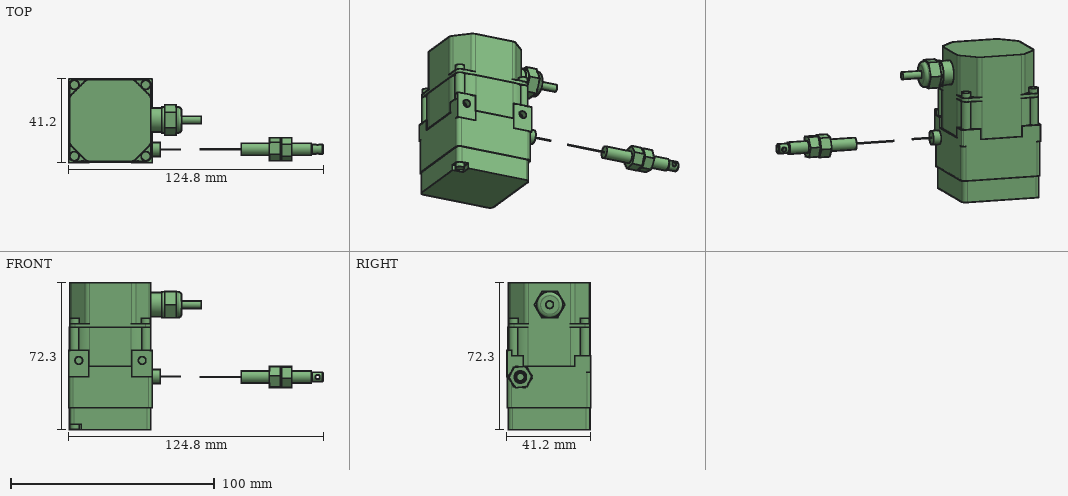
import cadquery as cq
import math


total_length = 124.8

band_bottom = 10.9
panel_bottom = 31.2
corner_block_top = 36.5
plate_bottom = 50.3
plate_top = 52.2
screw_head_top = 54.7
housing_top = 72.3

band_width = 41.1
band_depth = 41.2
tab_step = 0.1
body_inset = 0.4
right_inset = 0.7
base_front_inset = 0.6
cap_front_inset = 0.7
cap_left_inset = 0.5
base_radius = 2.1
drum_corner_radius = 9.7
cap_chamfer = 8.4
cap_edge_radius = 3.1
plate_corner_radius = 2.6

corner_block_width = 9.9
corner_block_depth = 8.0
rear_block_bottom = 28.2
block_edge_radius = 0.6
tab_width = 10.0
tab_thickness = 2.4
tab_bottom = 26.0
tab_top = 39.1
tab_hole_diameter = 3.7
tab_hole_depth = 3.7
tab_hole_inset = 5.0
tab_hole_height = 34.1

screw_spacing = 35.0
screw_left = 2.9
screw_front = 3.2
screw_head_diameter = 4.5
post_diameter = 4.9
notch_size = 6.2
notch_height = 2.7
notch_head_bottom = 0.4

gland_y = 21.0
gland_z = 61.4
collar_diameter = 12.0
gland_diameter = 12.9
gland_start = 45.7
gland_hex_start = 47.0
gland_hex_end = 52.7
gland_end = 55.4
gland_end_radius = 1.9
gland_across_flats = 13.0
cable_diameter = 3.7
cable_end = 65.2

outlet_y = 6.5
outlet_z = 26.2
wire_diameter = 0.45
outlet_diameter = 7.0
outlet_end = 44.9
wire_stub_end = 54.7

stud_y = 6.6
stud_z = 26.0
wire_restart = 64.5
stud_start = 84.6
stud_end = 119.1
stud_diameter = 6.0
neck_diameter = 4.7
neck_length = 0.5
tip_diameter = 4.9
tip_chamfer = 0.5
eye_diameter = 2.1
eye_x = 122.1
nut_across_flats = 10.0
first_nut_start = 98.5
first_nut_length = 5.4
first_nut_turn = -6
second_nut_start = 104.5
second_nut_length = 5.0
second_nut_turn = 6


def block(x0, y0, z0, x1, y1, z1):
    """Box between two opposite corners."""
    return cq.Workplane("XY").box(x1 - x0, y1 - y0, z1 - z0, centered=False).translate((x0, y0, z0))


def rod_x(y, z, diameter, x0, x1):
    """Round rod along X."""
    return cq.Workplane("YZ", origin=(x0, y, z)).circle(diameter / 2).extrude(x1 - x0)


def rod_z(x, y, diameter, z0, z1):
    """Round rod along Z."""
    return cq.Workplane("XY", origin=(x, y, z0)).circle(diameter / 2).extrude(z1 - z0)


def hex_x(y, z, across_flats, x0, x1):
    """Hexagonal prism along X with two corners pointing along Y."""
    across_corners = across_flats / math.cos(math.radians(30))
    return cq.Workplane("YZ", origin=(x0, y, z)).polygon(6, across_corners).extrude(x1 - x0)


body_right = band_width - right_inset
body_rear = band_depth - body_inset

screw_centers = [
    (x, y)
    for x in (screw_left, screw_left + screw_spacing)
    for y in (screw_front, screw_front + screw_spacing)
]


def make_base():
    """Bottom block, band and the slimmer rounded drum section above the band."""
    bottom = block(body_inset, base_front_inset, 0, body_right, body_rear, band_bottom)
    bottom = bottom.edges("|Z").fillet(base_radius)
    band = block(0, tab_step, band_bottom, band_width, band_depth, panel_bottom)
    band = band.edges("|Z").fillet(base_radius)
    drum = block(body_inset, body_inset, band_bottom, body_right, body_rear, plate_bottom)
    drum = drum.edges("|Z").fillet(drum_corner_radius)
    return bottom.union(band).union(drum)


def make_corner_blocks():
    """Square corners of the band: two behind the tabs and two lower ones at the rear."""
    blocks = []
    for x in (0, band_width - corner_block_width):
        front = block(x, tab_step, panel_bottom,
                      x + corner_block_width, corner_block_depth, corner_block_top)
        rear = block(x, band_depth - corner_block_depth, rear_block_bottom,
                     x + corner_block_width, band_depth, corner_block_top)
        outer_edge = "<X and >Y" if x == 0 else ">X and >Y"
        rear = rear.edges("|Z").edges(outer_edge).fillet(block_edge_radius)
        blocks += [front, rear]
    return blocks


def make_tabs():
    """Two mounting tabs on the front."""
    tabs = []
    for x in (0, band_width - tab_width):
        tabs.append(block(x, 0, tab_bottom, x + tab_width, tab_thickness, tab_top))
    return tabs


def make_tab_holes():
    """Blind holes in the tabs."""
    holes = []
    for x in (tab_hole_inset, band_width - tab_hole_inset):
        hole_plane = cq.Workplane("XZ", origin=(x, 0, tab_hole_height))
        holes.append(hole_plane.circle(tab_hole_diameter / 2).extrude(-tab_hole_depth))
    return holes


def make_cap():
    """Octagonal cap with rounded edges on its square flange plate."""
    cap = block(cap_left_inset, cap_front_inset, plate_bottom, body_right, body_rear, housing_top)
    cap = cap.edges("|Z").chamfer(cap_chamfer).edges("|Z").fillet(cap_edge_radius)
    plate = block(cap_left_inset, cap_front_inset, plate_bottom, body_right, body_rear, plate_top)
    return cap.union(plate.edges("|Z").fillet(plate_corner_radius))


def make_gland():
    """Cable gland with hexagon, rounded end and cable."""
    collar_radius = collar_diameter / 2
    gland_radius = gland_diameter / 2
    axis_start = band_width / 2
    gland = (
        cq.Workplane("XY")
        .moveTo(axis_start, 0)
        .lineTo(axis_start, collar_radius)
        .lineTo(gland_start, collar_radius)
        .lineTo(gland_start, gland_radius)
        .lineTo(gland_end, gland_radius)
        .lineTo(gland_end, 0)
        .close()
        .revolve(360, (0, 0, 0), (1, 0, 0))
        .faces(">X").edges().fillet(gland_end_radius)
        .translate((0, gland_y, gland_z))
    )
    hexagon = hex_x(gland_y, gland_z, gland_across_flats, gland_hex_start, gland_hex_end)
    cable = rod_x(gland_y, gland_z, cable_diameter, axis_start, cable_end)
    return gland.union(hexagon).union(cable)


def make_wire_outlet():
    """Outlet boss on the right side with the first piece of wire."""
    outlet = rod_x(outlet_y, outlet_z, outlet_diameter, band_width / 2, outlet_end)
    return outlet.union(rod_x(outlet_y, outlet_z, wire_diameter, band_width / 2, wire_stub_end))


def make_housing():
    """Complete housing with tabs, screws, gland, cable and wire outlet."""
    body = make_base().union(make_cap())
    for piece in make_corner_blocks() + make_tabs():
        body = body.union(piece)
    for x, y in screw_centers:
        body = body.union(rod_z(x, y, post_diameter, panel_bottom, plate_bottom))
        body = body.union(rod_z(x, y, screw_head_diameter, plate_bottom, screw_head_top))
    for hole in make_tab_holes():
        body = body.cut(hole)
    body = body.cut(block(0, 0, 0, notch_size, notch_size, notch_height))
    notch_head = rod_z(screw_left, screw_front, screw_head_diameter, notch_head_bottom, notch_height)
    body = body.union(notch_head)
    return body.union(make_gland()).union(make_wire_outlet())


def make_wire_end():
    """Second piece of wire, threaded stud and tip with a cross hole."""
    neck_end = stud_end + neck_length
    wire = rod_x(stud_y, stud_z, wire_diameter, wire_restart, stud_start)
    stud = rod_x(stud_y, stud_z, stud_diameter, stud_start, stud_end)
    neck = rod_x(stud_y, stud_z, neck_diameter, stud_end, neck_end)
    tip = rod_x(stud_y, stud_z, tip_diameter, neck_end, total_length)
    tip = tip.faces(">X").edges().chamfer(tip_chamfer)
    eye = cq.Workplane("XZ", origin=(eye_x, stud_y, stud_z)).circle(eye_diameter / 2)
    eye = eye.extrude(tip_diameter, both=True)
    return wire.union(stud).union(neck).union(tip).cut(eye)


def make_nut(start, length, turn):
    """Lock nut turned about the stud by an angle in degrees."""
    nut = hex_x(stud_y, stud_z, nut_across_flats, start, start + length)
    nut = nut.rotate((0, stud_y, stud_z), (1, stud_y, stud_z), turn)
    return nut.cut(rod_x(stud_y, stud_z, stud_diameter, start, start + length))


housing = make_housing()
wire_end = make_wire_end()
nut_places = [
    (first_nut_start, first_nut_length, first_nut_turn),
    (second_nut_start, second_nut_length, second_nut_turn),
]
nuts = [make_nut(start, length, turn).val() for start, length, turn in nut_places]

result = cq.Compound.makeCompound([housing.val(), wire_end.val(), *nuts])